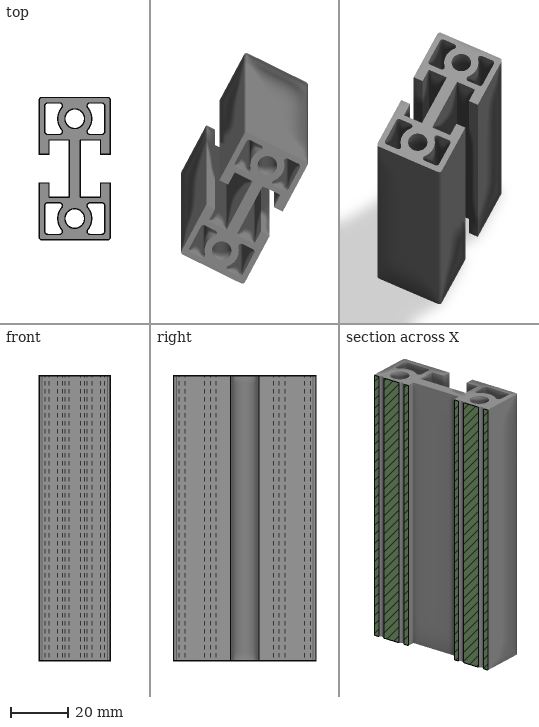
import cadquery as cq

width = 25.0
depth = 50.0
length = 100.0
corner_radius = 1.0

wall = 2.0
slot_opening = 10.0
slot_inner_width = 20.0
lip_thickness = 3.5
web_thickness = 4.0

bore_diameter = 6.8
boss_radius = 6.0

chamber_radius = 1.0
chamber_height = (depth - slot_inner_width) / 2 - 2 * wall
bore_offset = depth / 2 - wall - chamber_height / 2


def box_prism(size_x, size_y, center_x, center_y):
    """Full-length rectangular prism centred at the given place."""
    return cq.Workplane("XY").center(center_x, center_y).rect(size_x, size_y).extrude(length)


def side_slot(side):
    """T-slot in the -X (side = -1) or +X (side = +1) face."""
    channel_inner = web_thickness / 2
    channel_outer = width / 2 - lip_thickness
    channel_depth = channel_outer - channel_inner
    channel = box_prism(channel_depth, slot_inner_width, side * (channel_inner + channel_outer) / 2, 0)
    opening_depth = width / 2 - channel_inner
    opening = box_prism(opening_depth, slot_opening, side * (channel_inner + width / 2) / 2, 0)
    return channel.union(opening)


def chamber(side, center_y):
    """Rounded hollow between a side wall and the boss around a bore."""
    chamber_width = width / 2 - wall
    hollow = box_prism(chamber_width, chamber_height, side * chamber_width / 2, center_y)
    boss = cq.Workplane("XY").center(0, center_y).circle(boss_radius).extrude(length)
    return hollow.cut(boss).edges("|Z").fillet(chamber_radius)


def bore(center_y):
    """Round bore through the whole length."""
    return cq.Workplane("XY").center(0, center_y).circle(bore_diameter / 2).extrude(length)


result = box_prism(width, depth, 0, 0).edges("|Z").fillet(corner_radius)

for side in (-1, 1):
    result = result.cut(side_slot(side))

for center_y in (-bore_offset, bore_offset):
    result = result.cut(bore(center_y))
    for side in (-1, 1):
        result = result.cut(chamber(side, center_y))